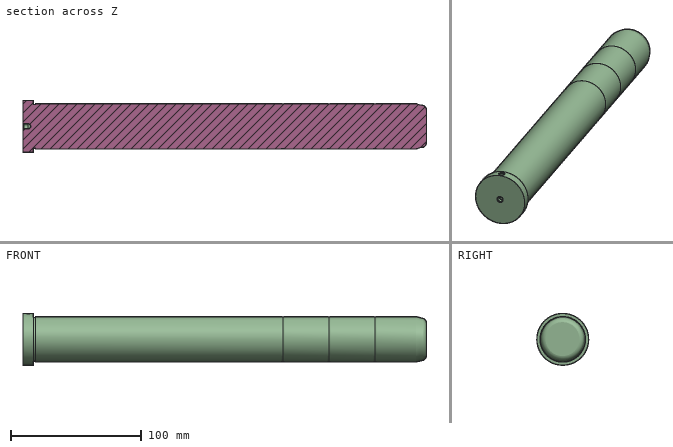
import cadquery as cq

length = 310.0
head_radius = 20.0
shank_radius = 17.5
head_length = 8.0

relief_width = 1.5
relief_depth = 0.5

groove_width = 2.8
groove_depth = 0.3
first_groove_x = 199.5
groove_pitch = 35.3
groove_count = 3

taper_start_x = 302.0
nose_start_x = 307.5
nose_start_radius = 16.0
nose_mid_x = 309.5
nose_mid_radius = 14.5
end_face_radius = 13.0

mouth_diameter = 5.0
mouth_depth = 0.5
bore_diameter = 3.7
radial_hole_x = head_length / 2


def pin_body():
    """Revolve the half profile of the pin about the X axis."""
    relief_end_x = head_length + relief_width
    relief_radius = shank_radius - relief_depth
    profile = (
        cq.Workplane("XZ")
        .lineTo(0, head_radius)
        .lineTo(head_length, head_radius)
        .lineTo(head_length, relief_radius)
        .lineTo(relief_end_x, relief_radius)
        .lineTo(relief_end_x, shank_radius)
    )
    for index in range(groove_count):
        center_x = first_groove_x + index * groove_pitch
        profile = (
            profile.lineTo(center_x - groove_width / 2, shank_radius)
            .lineTo(center_x, shank_radius - groove_depth)
            .lineTo(center_x + groove_width / 2, shank_radius)
        )
    profile = (
        profile.lineTo(taper_start_x, shank_radius)
        .lineTo(nose_start_x, nose_start_radius)
        .threePointArc((nose_mid_x, nose_mid_radius), (length, end_face_radius))
        .lineTo(length, 0)
        .close()
    )
    return profile.revolve(360, (0, 0, 0), (1, 0, 0))


def countersunk_hole(start, direction, depth):
    """Narrow bore with a conical mouth, entering at start along direction."""
    plane = cq.Plane(origin=start, xDir=(0, 1, 0), normal=direction)
    mouth = (
        cq.Workplane(plane)
        .circle(mouth_diameter / 2)
        .workplane(offset=mouth_depth)
        .circle(bore_diameter / 2)
        .loft()
    )
    bore = cq.Workplane(plane).circle(bore_diameter / 2).extrude(depth)
    return mouth.union(bore)


axial_hole = countersunk_hole((0, 0, 0), (1, 0, 0), radial_hole_x)
radial_hole = countersunk_hole((radial_hole_x, 0, head_radius), (0, 0, -1), head_radius)
result = pin_body().cut(axial_hole).cut(radial_hole)